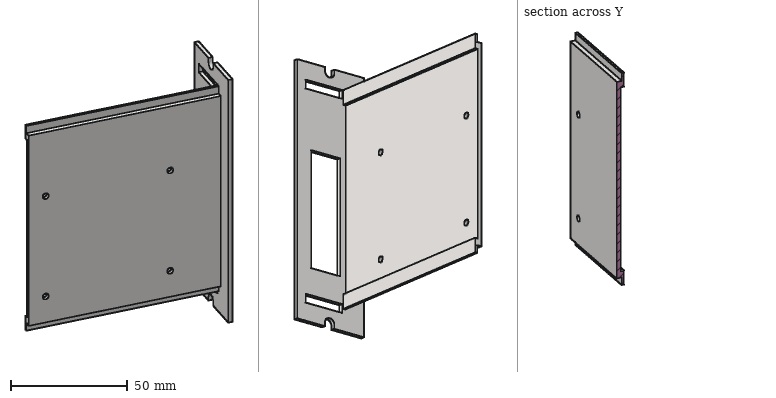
import cadquery as cq

panel_width = 37.0
panel_height = 119.0
panel_thickness = 2.0
total_depth = 92.0

notch_x = 18.0
notch_width = 5.1
notch_depth = 4.3

slot_left = 4.8
slot_width = 20.1
slot_height = 4.0
slot_edge_distance = 8.3
window_left = 7.9
window_width = 15.8
window_bottom = 24.9
window_height = 54.1

carrier_center_z = 60.5
carrier_height = 100.4
carrier_left = 25.3
tongue_thickness = 1.2
web_thickness = 2.0
web_right = 28.9
web_height = 93.3
recess_height = 87.0

hole_diameter = 2.7
hole_front_y = -84.0
hole_spacing_y = 58.3
hole_bottom_z = 26.5
hole_spacing_z = 49.1


def box(left, width, front, depth, bottom, height):
    """Box given by its minimum corner and its sizes."""
    return cq.Workplane("XY").box(width, depth, height, centered=False).translate((left, front, bottom))


def panel_opening(left, width, bottom, height):
    """Cutter for a rectangular opening through the panel."""
    return box(left, width, -panel_thickness, panel_thickness, bottom, height)


def notch(edge_z, inward):
    """Round-ended cutter reaching from a panel edge inward (+1 up, -1 down)."""
    radius = notch_width / 2
    arc_z = edge_z + inward * (notch_depth - radius)
    return (
        cq.Workplane("XZ")
        .moveTo(notch_x - radius, edge_z)
        .lineTo(notch_x - radius, arc_z)
        .threePointArc((notch_x, edge_z + inward * notch_depth), (notch_x + radius, arc_z))
        .lineTo(notch_x + radius, edge_z)
        .close()
        .extrude(panel_thickness)
    )


def make_panel():
    panel = box(0, panel_width, -panel_thickness, panel_thickness, 0, panel_height)
    panel = panel.cut(notch(0, 1)).cut(notch(panel_height, -1))
    upper_slot_bottom = panel_height - slot_edge_distance - slot_height
    for slot_bottom in (slot_edge_distance, upper_slot_bottom):
        panel = panel.cut(panel_opening(slot_left, slot_width, slot_bottom, slot_height))
    return panel.cut(panel_opening(window_left, window_width, window_bottom, window_height))


def carrier_layer(left, width, height):
    """Full-length carrier slab centered on the carrier height."""
    length = total_depth - panel_thickness
    return box(left, width, -total_depth, length, carrier_center_z - height / 2, height)


def make_carrier():
    tongues = carrier_layer(carrier_left, tongue_thickness, carrier_height)
    web = carrier_layer(carrier_left, web_right - carrier_left, web_height)
    recess_depth = web_right - web_thickness - carrier_left
    recess = carrier_layer(carrier_left, recess_depth, recess_height)
    carrier = tongues.union(web).cut(recess)
    hole_points = [
        (hole_front_y + i * hole_spacing_y, hole_bottom_z + j * hole_spacing_z)
        for i in range(2)
        for j in range(2)
    ]
    holes = (
        cq.Workplane("YZ", origin=(carrier_left, 0, 0))
        .pushPoints(hole_points)
        .circle(hole_diameter / 2)
        .extrude(web_right - carrier_left)
    )
    return carrier.cut(holes)


result = make_panel().union(make_carrier())